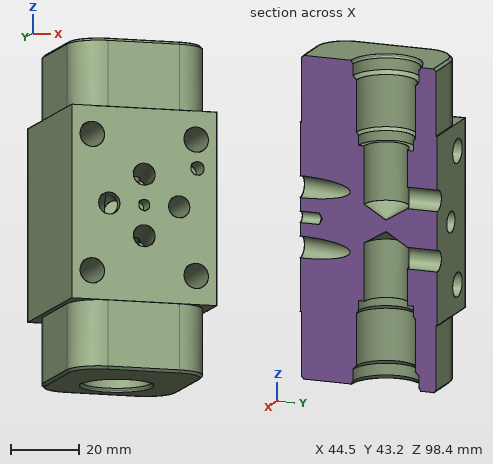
import cadquery as cq
import math

height = 98.4
block_width = 44.5
block_depth = 43.2
block_height = 57.6

cap_width = 41.2
cap_depth = 42.5
cap_corner_radius = 9.6
cap_chamfer = 0.8

cavity_y = 5.4
mouth_radius = 10.9
lip_radius = 10.7
lip_depth = 0.5
seal_radius = 10.3
seal_top_depth = 1.1
seal_bottom_depth = 4.6
thread_radius = 9.3
thread_top_depth = 5.8
thread_bottom_depth = 21.7
seat_radius = 8.6
seat_top_depth = 22.6
seat_bottom_depth = 25.6
bore_radius = 6.8
bore_depth = 43.3
drill_point_angle = 118.0

bolt_x = 15.9
bolt_z = 20.3
bolt_diameter = 7.5
port_x = 10.7
port_z = 9.2
port_diameter = 6.5
outlet_diameter = 6.4
passage_tilt = 12.0
feed_start_depth = 3.2
feed_length = 11.8
feed_tilt = 30.0
pin_x = 16.3
pin_z = 11.7
pin_diameter = 4.0
pin_depth = 7.9
pilot_diameter = 3.3
pilot_depth = 5.9

front_y = -block_depth / 2
tool_overlap = 4.9
drill_point_slope = 1 / math.tan(math.radians(drill_point_angle / 2))


def end_caps():
    """Rounded column through the block; its two ends form the caps."""
    return (
        cq.Workplane("XY")
        .box(cap_width, cap_depth, height)
        .edges("|Z")
        .fillet(cap_corner_radius)
        .faces("<Z or >Z")
        .chamfer(cap_chamfer)
    )


def cavity():
    """Stepped cavity entering from the top, ending in a drill point."""
    steps = [
        (mouth_radius, 0),
        (lip_radius, lip_depth),
        (seal_radius, seal_top_depth),
        (seal_radius, seal_bottom_depth),
        (thread_radius, thread_top_depth),
        (thread_radius, thread_bottom_depth),
        (seat_radius, seat_top_depth),
        (seat_radius, seat_bottom_depth),
        (bore_radius, seat_bottom_depth),
        (bore_radius, bore_depth),
        (0, bore_depth + bore_radius * drill_point_slope),
    ]
    top = height / 2
    profile = [(0, top)] + [(radius, top - depth) for radius, depth in steps]
    return (
        cq.Workplane("XZ")
        .polyline(profile)
        .close()
        .revolve(360, (0, 0, 0), (0, 1, 0))
        .translate((0, cavity_y, 0))
    )


def drilling(start, length, diameter, tilt=0.0):
    """Cylinder running toward +Y, swung toward +X by the tilt in degrees."""
    angle = math.radians(tilt)
    direction = cq.Vector(math.sin(angle), math.cos(angle), 0)
    cylinder = cq.Solid.makeCylinder(diameter / 2, length, cq.Vector(*start), direction)
    return cq.Workplane(cylinder)


def through_hole(x, z, diameter):
    return drilling((x, front_y, z), block_depth, diameter)


def blind_hole(x, z, diameter, depth):
    """Hole in the front face with a conical drill point."""
    radius = diameter / 2
    point = cq.Solid.makeCone(
        radius, 0, radius * drill_point_slope, cq.Vector(x, front_y + depth, z), cq.Vector(0, 1, 0)
    )
    return drilling((x, front_y, z), depth, diameter).union(cq.Workplane(point))


def tilted_port(z):
    """Tilted passage from the front face to the cavity axis, and a straight outlet to the back face."""
    angle = math.radians(passage_tilt)
    reach = (cavity_y - front_y) / math.cos(angle)
    start = (-tool_overlap * math.sin(angle), front_y - tool_overlap * math.cos(angle), z)
    inlet = drilling(start, reach + tool_overlap, port_diameter, passage_tilt)
    outlet = drilling((0, cavity_y, z), block_depth / 2 - cavity_y, outlet_diameter)
    return inlet.union(outlet)


body = cq.Workplane("XY").box(block_width, block_depth, block_height).union(end_caps())

upper_cavity = cavity()
body = body.cut(upper_cavity).cut(upper_cavity.mirror("XY"))

for x in (-bolt_x, bolt_x):
    for z in (-bolt_z, bolt_z):
        body = body.cut(through_hole(x, z, bolt_diameter))

for x in (-port_x, port_x):
    body = body.cut(through_hole(x, 0, port_diameter))

for z in (-port_z, port_z):
    body = body.cut(tilted_port(z))

feed_start = (-port_x, front_y + feed_start_depth, 0)
body = body.cut(drilling(feed_start, feed_length, port_diameter, feed_tilt))

body = body.cut(blind_hole(pin_x, pin_z, pin_diameter, pin_depth))
body = body.cut(blind_hole(0, 0, pilot_diameter, pilot_depth))

result = body